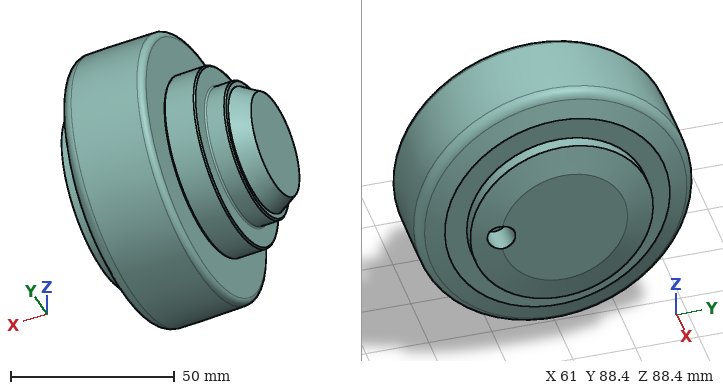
import cadquery as cq
import math

total_length = 61.0

tip_diameter = 33.95
tip_base_diameter = 40.9
collar_start = 6.0
collar_diameter = 45.0
flange_start = 13.0
flange_diameter = 59.0
edge_break = 0.5

roller_start = 23.6
roller_end = 53.7
roller_diameter = 88.4
crown_radius = 499.5
back_fillet = 2.1
front_fillet = 3.8
front_taper_drop = 8.5
front_taper_angle = 20.0

corner_tolerance = 0.01

neck_diameter = 55.5
cap_start = 54.45
cap_cone_start = 58.5
cap_diameter = 58.0
cap_face_diameter = 40.2

hole_diameter = 8.6
hole_offset = 19.7
hole_depth = 8.8


def turn(outline):
    """Revolve an outline, drawn as (x, radius), a full turn about the X axis."""
    return outline.revolve(360, (0, 0, 0), (1, 0, 0))


def make_stud():
    tip_radius = tip_diameter / 2
    tip_base_radius = tip_base_diameter / 2
    collar_radius = collar_diameter / 2
    flange_radius = flange_diameter / 2
    arc_inset = edge_break * (1 - math.sqrt(0.5))
    outline = (
        cq.Workplane("XZ")
        .lineTo(0, tip_radius)
        .lineTo(collar_start, tip_base_radius)
        .lineTo(collar_start, collar_radius - edge_break)
        .lineTo(collar_start + edge_break, collar_radius)
        .lineTo(flange_start - edge_break, collar_radius)
        .threePointArc(
            (flange_start - arc_inset, collar_radius + arc_inset),
            (flange_start, collar_radius + edge_break),
        )
        .lineTo(flange_start, flange_radius - edge_break)
        .lineTo(flange_start + edge_break, flange_radius)
        .lineTo(roller_start - edge_break, flange_radius)
        .lineTo(roller_start, flange_radius - edge_break)
        .lineTo(roller_start, 0)
        .close()
    )
    return turn(outline)


def make_roller():
    outer_radius = roller_diameter / 2
    crown_center = (roller_start + roller_end) / 2

    def tread_radius(x):
        return outer_radius - crown_radius + math.sqrt(crown_radius**2 - (x - crown_center) ** 2)

    taper_end_radius = outer_radius - front_taper_drop
    taper_length = front_taper_drop * math.tan(math.radians(front_taper_angle))
    taper_start = roller_end - taper_length
    back_corner = (roller_start, tread_radius(roller_start))
    front_corner = (taper_start, tread_radius(taper_start))

    outline = (
        cq.Workplane("XZ")
        .moveTo(roller_start, 0)
        .lineTo(*back_corner)
        .threePointArc((crown_center, outer_radius), front_corner)
        .lineTo(roller_end, taper_end_radius)
        .lineTo(roller_end, 0)
        .close()
    )
    section = outline.val()

    def corner_at(corner):
        return [v for v in section.Vertices() if math.dist((v.X, v.Z), corner) < corner_tolerance]

    section = section.fillet2D(back_fillet, corner_at(back_corner))
    section = section.fillet2D(front_fillet, corner_at(front_corner))
    return turn(cq.Workplane("XZ").add(section).toPending())


def make_cap():
    outline = (
        cq.Workplane("XZ")
        .moveTo(roller_end, 0)
        .lineTo(roller_end, neck_diameter / 2)
        .lineTo(cap_start, neck_diameter / 2)
        .lineTo(cap_start, cap_diameter / 2)
        .lineTo(cap_cone_start, cap_diameter / 2)
        .lineTo(total_length, cap_face_diameter / 2)
        .lineTo(total_length, 0)
        .close()
    )
    return turn(outline)


def make_hole():
    return (
        cq.Workplane("YZ", origin=(total_length, -hole_offset, 0))
        .circle(hole_diameter / 2)
        .extrude(-hole_depth)
    )


result = make_stud().union(make_roller()).union(make_cap()).cut(make_hole())